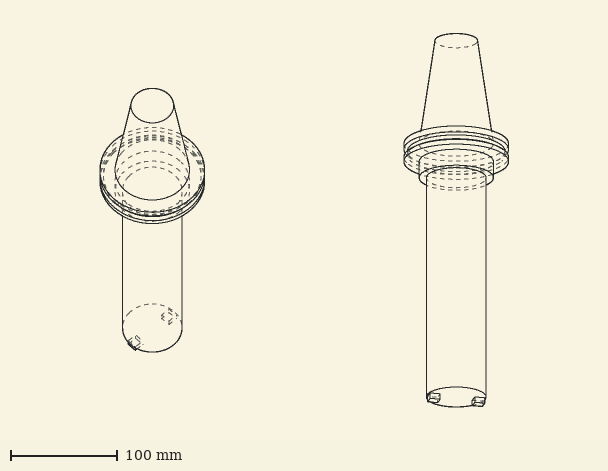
import cadquery as cq
import math


gauge_diameter = 69.85
taper_length = 101.6
taper_ratio = 7 / 24
taper_small_diameter = gauge_diameter - taper_length * taper_ratio

flange_diameter = 98.43
flange_top = -1.0
flange_bottom = -19.05
groove_center = -10.6
groove_floor_width = 3.8
groove_depth = 3.3
groove_flank_angle = 30

neck_diameter = gauge_diameter
neck_bottom = -35.0
body_diameter = 56.0
overall_length = 360.5

key_width = 9.8
key_height = 5.4
key_spacing = 43.4
body_bottom = taper_length - overall_length + key_height


def make_holder():
    """Revolve the taper, land, neck and body, and join the flange to them."""
    gauge_radius = gauge_diameter / 2
    neck_radius = neck_diameter / 2
    body_radius = body_diameter / 2
    profile = (
        cq.Workplane("XZ")
        .moveTo(0, taper_length)
        .lineTo(taper_small_diameter / 2, taper_length)
        .lineTo(gauge_radius, 0)
        .lineTo(neck_radius, neck_bottom)
        .lineTo(body_radius, neck_bottom)
        .lineTo(body_radius, body_bottom)
        .lineTo(0, body_bottom)
        .close()
    )
    spindle = profile.revolve(360, (0, 0, 0), (0, 1, 0))
    flange = (
        cq.Workplane("XY", origin=(0, 0, flange_bottom))
        .circle(flange_diameter / 2)
        .extrude(flange_top - flange_bottom)
    )
    return spindle.union(flange)


def make_groove():
    """Ring with slanted flanks that cuts the V-groove into the flange rim."""
    rim_radius = flange_diameter / 2
    floor_radius = rim_radius - groove_depth
    floor_half_width = groove_floor_width / 2
    rim_half_width = floor_half_width + groove_depth * math.tan(math.radians(groove_flank_angle))
    profile = (
        cq.Workplane("XZ")
        .moveTo(floor_radius, groove_center - floor_half_width)
        .lineTo(floor_radius, groove_center + floor_half_width)
        .lineTo(rim_radius, groove_center + rim_half_width)
        .lineTo(rim_radius, groove_center - rim_half_width)
        .close()
    )
    return profile.revolve(360, (0, 0, 0), (0, 1, 0))


def make_keys():
    """Two square drive keys hanging from the end face, opposite each other along Y."""
    key_half_spacing = key_spacing / 2
    return (
        cq.Workplane("XY", origin=(0, 0, body_bottom))
        .pushPoints([(0, -key_half_spacing), (0, key_half_spacing)])
        .rect(key_width, key_width)
        .extrude(-key_height)
    )


result = make_holder().cut(make_groove()).union(make_keys())